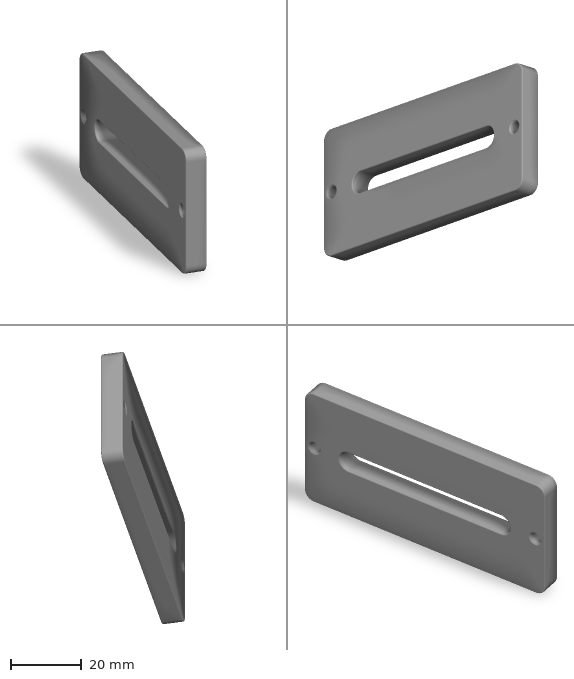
import cadquery as cq

length = 82.0
thickness = 6.3
height = 38.0
corner_radius = 3.0
edge_radius = 0.3

slot_length = 58.5
slot_width = 6.5

hole_diameter = 3.45
hole_spacing = 75.4
hole_chamfer = 0.4

plate = cq.Workplane("XY").box(length, thickness, height).edges("|Y").fillet(corner_radius)

slot = cq.Workplane("XZ").slot2D(slot_length, slot_width).extrude(thickness / 2, both=True)
plate = plate.cut(slot)

plate = plate.faces("<Y or >Y").fillet(edge_radius)

hole_centres = [(-hole_spacing / 2, 0), (hole_spacing / 2, 0)]
holes = (
    cq.Workplane("XZ")
    .pushPoints(hole_centres)
    .circle(hole_diameter / 2)
    .extrude(thickness / 2, both=True)
)
plate = plate.cut(holes)

hole_rims = plate.faces("<Y or >Y").edges("%CIRCLE").edges(cq.selectors.RadiusNthSelector(0))
result = hole_rims.chamfer(hole_chamfer)